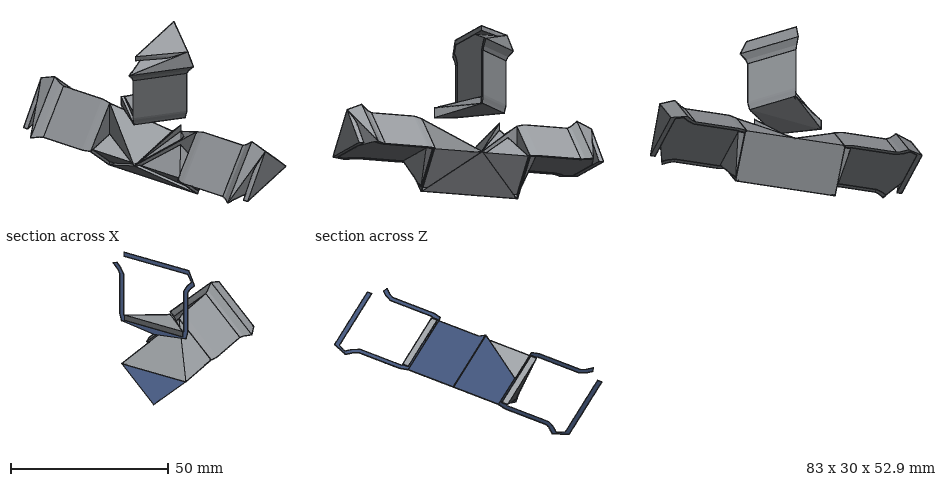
import cadquery as cq
import math

run_tip = 41.5
branch_tip = 41.1
sleeve_length = 25.4
lip_depth = 1.6
lip_radius = 10.95
mouth_radius = 12.9
flange_depth = 5.0
flange_width = 30.0
flange_radius = flange_width / 2
pipe_width = 25.0
pipe_radius = pipe_width / 2

outer_stations = [
    (0.0, mouth_radius),
    (flange_depth, flange_radius),
    (7.05, 13.1),
    (8.3, pipe_radius),
    (22.7, pipe_radius),
    (23.4, 12.4),
    (24.6, 12.0),
    (sleeve_length, 11.9),
]

notch_root = (4.1, 13.8)

recess_stations = [
    (lip_depth, 10.95),
    (lip_depth, 12.45),
    notch_root,
    (5.8, 12.2),
    (8.1, 10.95),
    (22.8, 10.95),
    (23.4, 10.6),
    (24.9, 10.6),
]
recess_sink = 0.2

body_radius = 11.8
inset_radius = 10.45
body_half_length = run_tip - sleeve_length
end_plate_thickness = 0.3
end_wedge_reach = 18.6
end_wedge_radius = 10.45
ridge_x = 10.3
ridge_low_z = 10.1
ridge_high_z = 12.45
fin_radius = 10.7

neck_radius = 11.9
neck_inner_radius = 10.5
neck_bottom_z = 12.45
floor_half_width = 10.7
floor_high_z = 18.1
floor_low_z = 16.1

tolerance = 6.89e-07


def hull(points):
    """Convex solid with the given corner points."""
    corners = [cq.Vector(*point) for point in points]
    count = len(corners)
    outlines = {}
    for i in range(count):
        for j in range(i + 1, count):
            for k in range(j + 1, count):
                normal = (corners[j] - corners[i]).cross(corners[k] - corners[i])
                if normal.Length < tolerance:
                    continue
                normal = normal.normalized()
                heights = [(corner - corners[i]).dot(normal) for corner in corners]
                if min(heights) < -tolerance and max(heights) > tolerance:
                    continue
                flat = [n for n in range(count) if abs(heights[n]) <= tolerance]
                outlines[tuple(flat)] = normal
    faces = [hull_face([corners[n] for n in flat], normal) for flat, normal in outlines.items()]
    return cq.Workplane(cq.Solid.makeSolid(cq.Shell.makeShell(faces)))


def hull_face(corners, normal):
    """Flat face whose corners are put in order around their centre."""
    centre = sum(corners, cq.Vector()) * (1 / len(corners))
    across = (corners[0] - centre).normalized()
    upward = normal.cross(across)
    ordered = sorted(
        corners,
        key=lambda corner: math.atan2((corner - centre).dot(upward), (corner - centre).dot(across)),
    )
    return cq.Face.makeFromWires(cq.Wire.makePolygon(ordered, close=True))


def tent(stations):
    """Solid along X with a half-diamond section, its top corner toward +Z."""
    sections = [
        [(run_tip - depth, -radius, 0), (run_tip - depth, 0, radius), (run_tip - depth, radius, 0)]
        for depth, radius in stations
    ]
    solid = hull(sections[0] + sections[1])
    for inner, outer in zip(sections[1:], sections[2:]):
        solid = solid.union(hull(inner + outer))
    return solid


def mouth_plate():
    """Plate across the mouth, cut back on its -Y side."""
    flare = (flange_radius - mouth_radius) / flange_depth
    points = []
    for depth in (0, lip_depth):
        x = run_tip - depth
        radius = mouth_radius + flare * depth
        points += [(x, radius, 0), (x, 0, radius), (x, -lip_radius, 0)]
    return hull(points)


def flange_notch():
    """Corner missing from the -Y side of the flange."""
    root_depth, root_radius = notch_root
    return hull([
        (run_tip, 0, 0),
        (run_tip, 0, mouth_radius),
        (run_tip, -mouth_radius, 0),
        (run_tip - flange_depth, -flange_radius, 0),
        (run_tip - root_depth, -root_radius, 0),
    ])


def side_recess():
    """Shallow recess in the flat side, within a rim that follows the outer profile."""
    one_side = [(run_tip - depth, radius) for depth, radius in recess_stations]
    other_side = [(x, -y) for x, y in reversed(one_side)]
    return cq.Workplane("XY").polyline(one_side + other_side).close().extrude(recess_sink)


def make_sleeve():
    """Sleeve on the +X end of the run, with its flat side down."""
    bar = tent(outer_stations).cut(flange_notch()).cut(side_recess())
    return bar.union(mouth_plate())


def keel_prism(corners, start, end):
    """Straight length of keel between two X positions, with the given (Y, Z) corners."""
    return hull([(x, y, z) for x in (start, end) for y, z in corners])


def lower_body():
    """Solid V-shaped keel whose front face steps in toward both ends."""
    ends = (-body_half_length, body_half_length)
    back = keel_prism([(0, 0), (body_radius, 0), (0, -body_radius)], *ends)
    front = keel_prism([(0, 0), (-inset_radius, 0), (0, -inset_radius)], *ends)
    front_triangle = hull([
        (0, 0, 0),
        (0, -body_radius, 0),
        (-body_half_length, 0, -body_radius),
        (body_half_length, 0, -body_radius),
    ])
    return back.union(front).union(front_triangle)


def end_plate(side):
    """Thin plate of the full body section across one end of the keel."""
    corners = [(-body_radius, 0), (body_radius, 0), (0, -body_radius)]
    inner = side * body_half_length
    return keel_prism(corners, inner, inner + side * end_plate_thickness)


def end_wedge(side):
    """Sloping end on the outer side of an end plate, under a sleeve."""
    plate_x = side * (body_half_length + end_plate_thickness)
    reach_x = side * end_wedge_reach
    return hull([
        (plate_x, -end_wedge_radius, 0),
        (plate_x, end_wedge_radius, 0),
        (reach_x, -end_wedge_radius, 0),
        (reach_x, end_wedge_radius, 0),
        (plate_x, 0, -end_wedge_radius),
    ])


def saddle_wing(side):
    """Roof from the end of the body down to the middle, with an upright front face."""
    return hull([
        (side * body_half_length, 0, body_radius),
        (side * body_half_length, 0, 0),
        (side * body_half_length, body_radius, 0),
        (0, body_radius, 0),
        (0, -body_radius, 0),
    ])


def front_wedge():
    """Sloping front face on the +X side of the saddle."""
    return hull([
        (0, -inset_radius, 0),
        (0, inset_radius, 0),
        (body_half_length, -inset_radius, 0),
        (body_half_length, 0, 0),
        (ridge_x, 0, ridge_low_z),
    ])


def saddle_fin():
    """Thin leaning fin that rises above the front wedge."""
    return hull([
        (0, -fin_radius, 0),
        (0, fin_radius, 0),
        (ridge_x, 0, ridge_low_z),
        (ridge_x, 0, ridge_high_z),
    ])


def make_tee_body():
    body = lower_body().union(front_wedge()).union(saddle_fin())
    for side in (-1, 1):
        body = body.union(end_plate(side)).union(end_wedge(side)).union(saddle_wing(side))
    return body


def make_branch():
    foot_z = branch_tip - sleeve_length
    sleeve = (
        make_sleeve()
        .rotate((0, 0, 0), (0, 1, 0), -90)
        .mirror("YZ")
        .translate((0, 0, branch_tip - run_tip))
    )
    neck = hull([
        (-neck_radius, 0, foot_z),
        (neck_radius, 0, foot_z),
        (0, -neck_radius, foot_z),
        (0, neck_radius, foot_z),
        (-neck_radius, 0, neck_bottom_z),
        (-neck_inner_radius, 0, neck_bottom_z),
    ])
    sloping_floor = hull([
        (0, -floor_half_width, foot_z),
        (0, floor_half_width, foot_z),
        (0, -floor_half_width, floor_high_z),
        (0, floor_half_width, floor_high_z),
        (-neck_inner_radius, 0, foot_z),
        (-neck_inner_radius, 0, floor_low_z),
    ])
    return sleeve.union(neck).union(sloping_floor)


tee_body = make_tee_body()
branch = make_branch()
run_sleeves = []
for side in (-1, 1):
    sleeve = make_sleeve()
    run_sleeves.append(sleeve if side > 0 else sleeve.mirror("YZ"))

result = cq.Compound.makeCompound([
    tee_body.val(),
    branch.val(),
    *[sleeve.val() for sleeve in run_sleeves],
])